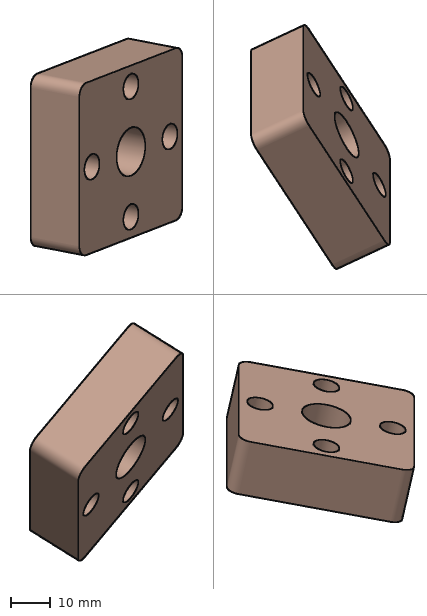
import cadquery as cq

side = 45.0
thickness = side / 3
corner_radius = 3.0

bore_diameter = 12.5
bolt_hole_diameter = 6.55
bolt_circle_radius = 17.0
bolt_hole_count = 4


def rounded_plate():
    """Square plate, centred on the origin, with its four X-direction edges rounded."""
    return cq.Workplane("YZ").box(side, side, thickness).edges("|X").fillet(corner_radius)


def cut_holes(plate):
    """Cut the central bore and the ring of bolt holes right through the plate."""
    bored = plate.faces("<X").workplane(centerOption="CenterOfBoundBox").hole(bore_diameter)
    return (
        bored.faces("<X")
        .workplane(centerOption="CenterOfBoundBox")
        .polarArray(bolt_circle_radius, 0, 360, bolt_hole_count)
        .hole(bolt_hole_diameter)
    )


result = cut_holes(rounded_plate())